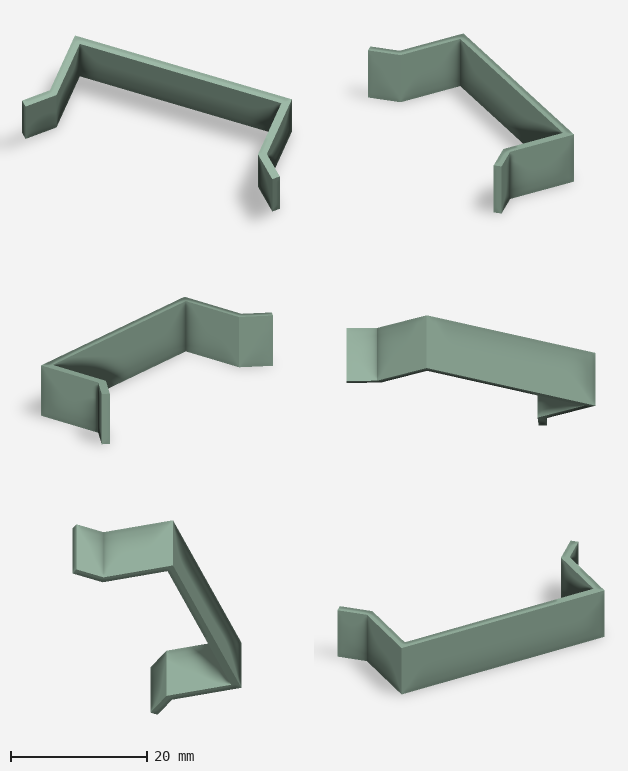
import cadquery as cq
import math

overall_width = 40.35
overall_depth = 14.75
height = 8.0
body_width = 34.0
thickness = 1.2
flare_angle = 45.0

angle = math.radians(flare_angle)
half_body = body_width / 2
half_inner = half_body - thickness
half_overall = overall_width / 2
flare_run = half_overall - half_body
tip_dx = thickness * math.cos(angle)
tip_dy = thickness * math.sin(angle)
miter_shift = thickness * math.tan(angle / 2)

back = overall_depth
inner_back = back - thickness
outer_tip = tip_dy
outer_bend = outer_tip + flare_run / math.tan(angle)
inner_bend = outer_bend - miter_shift

right_half = [
    (half_body, back),
    (half_body, outer_bend),
    (half_overall, outer_tip),
    (half_overall - tip_dx, 0),
    (half_inner, inner_bend),
    (half_inner, inner_back),
]
left_half = [(-x, y) for x, y in reversed(right_half)]

result = cq.Workplane("XY").polyline(right_half + left_half).close().extrude(height)